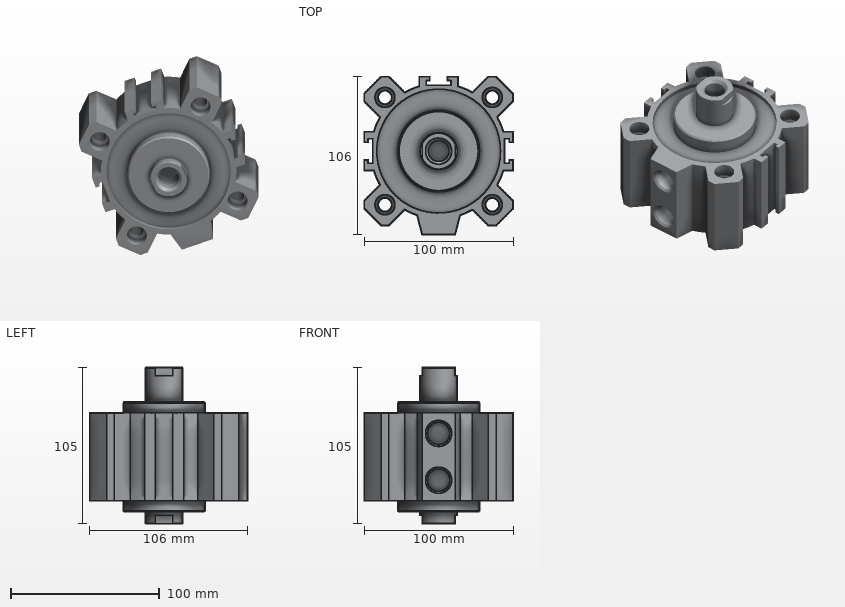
import cadquery as cq
import math


HOUSING_WIDTH = 100.0
HOUSING_DEPTH = 106.0
HOUSING_HEIGHT = 59.0
BARREL_DIAMETER = 91.0
ARM_WIDTH = 23.5
ARM_REACH = 62.6

RAIL_WIDTH = 26.1
SLOT_MOUTH_WIDTH = 11.7
SLOT_INNER_WIDTH = 16.3
SLOT_LIP = 2.6
SLOT_DEPTH = 5.6
RAIL_ANGLES = (0, 90, 180)

PORT_FACE_WIDTH = 22.3
PORT_BLOCK_TAPER = 14.5
PORT_DIAMETER = 14.9
PORT_MOUTH_DIAMETER = 17.6
PORT_DEPTH = 14.8
PORT_SPACING = 31.4

BOLT_OFFSET = 36.0
BOLT_DIAMETER = 9.0
COUNTERBORE_DIAMETER = 13.5
COUNTERBORE_DEPTH = 9.0

RECESS_DIAMETER = 83.2
RECESS_DEPTH = 3.0
BOSS_DIAMETER = 55.0
BOSS_HEIGHT = 7.5
BOSS_CHAMFER = 1.0

ROD_DIAMETER = 25.0
ROD_TOP_LENGTH = 23.0
ROD_BOTTOM_LENGTH = 8.0
ROD_CHAMFER = 0.4
FLAT_SPACING = 22.0
FLAT_LENGTH = 5.6
ROD_BORE_DIAMETER = 13.9
ROD_BORE_MOUTH_DIAMETER = 17.6
ROD_BORE_DEPTH = 21.2

HALF_WIDTH = HOUSING_WIDTH / 2
HALF_HEIGHT = HOUSING_HEIGHT / 2
PORT_FACE_DISTANCE = HOUSING_DEPTH - HALF_WIDTH
BOSS_TOP = HALF_HEIGHT + BOSS_HEIGHT
ROD_TOP = BOSS_TOP + ROD_TOP_LENGTH
ROD_BOTTOM = -BOSS_TOP - ROD_BOTTOM_LENGTH


def countersunk_hole(diameter, mouth_diameter, depth):
    """Blind hole cutter with a 45 degree mouth, from the origin down along -Z."""
    radius = diameter / 2
    mouth_radius = mouth_diameter / 2
    return (
        cq.Workplane("XZ")
        .polyline([
            (0, 0),
            (mouth_radius, 0),
            (radius, radius - mouth_radius),
            (radius, -depth),
            (0, -depth),
        ])
        .close()
        .revolve(360, (0, 0, 0), (0, 1, 0))
    )


def mirrored_pair(shape):
    """The shape together with its mirror image below z = 0."""
    return shape.union(shape.mirror("XY"))


def side_box(x_inner, x_outer, width):
    """Box of housing height on the +X side, between two distances from the axis."""
    length = x_outer - x_inner
    return cq.Workplane("XY").box(length, width, HOUSING_HEIGHT).translate((x_inner + length / 2, 0, 0))


def make_arms():
    """Diagonal cross of four mounting arms, trimmed by the square housing width."""
    arms = cq.Workplane("XY").box(2 * ARM_REACH, ARM_WIDTH, HOUSING_HEIGHT)
    arms = arms.union(arms.rotate((0, 0, 0), (0, 0, 1), 90))
    arms = arms.rotate((0, 0, 0), (0, 0, 1), 45)
    return arms.intersect(cq.Workplane("XY").box(HOUSING_WIDTH, HOUSING_WIDTH, HOUSING_HEIGHT))


def make_port_block():
    """Tapered block that widens from the port face to well inside the barrel."""
    half_face = PORT_FACE_WIDTH / 2
    root_distance = BARREL_DIAMETER / 2 - SLOT_DEPTH
    half_root = half_face + (PORT_FACE_DISTANCE - root_distance) * math.tan(math.radians(PORT_BLOCK_TAPER))
    return (
        cq.Workplane("XY", origin=(0, 0, -HALF_HEIGHT))
        .polyline([
            (-half_face, -PORT_FACE_DISTANCE),
            (half_face, -PORT_FACE_DISTANCE),
            (half_root, -root_distance),
            (-half_root, -root_distance),
        ])
        .close()
        .extrude(HOUSING_HEIGHT)
    )


def add_rails(body):
    """Add a rail with a T-slot on each plain side of the barrel."""
    rail = side_box(0, HALF_WIDTH, RAIL_WIDTH)
    slot = side_box(HALF_WIDTH - SLOT_DEPTH, HALF_WIDTH - SLOT_LIP, SLOT_INNER_WIDTH)
    slot = slot.union(side_box(HALF_WIDTH - SLOT_DEPTH, HALF_WIDTH, SLOT_MOUTH_WIDTH))
    for angle in RAIL_ANGLES:
        body = body.union(rail.rotate((0, 0, 0), (0, 0, 1), angle))
        body = body.cut(slot.rotate((0, 0, 0), (0, 0, 1), angle))
    return body


def cut_ports(body):
    """Two air ports, one above the other, in the -Y face."""
    port = countersunk_hole(PORT_DIAMETER, PORT_MOUTH_DIAMETER, PORT_DEPTH)
    port = port.rotate((0, 0, 0), (1, 0, 0), 90)
    for z in (-PORT_SPACING / 2, PORT_SPACING / 2):
        body = body.cut(port.translate((0, -PORT_FACE_DISTANCE, z)))
    return body


def cut_bolt_holes(body):
    """Through holes in the arms, counterbored from both ends."""
    through = cq.Workplane("XY").circle(BOLT_DIAMETER / 2).extrude(HALF_HEIGHT, both=True)
    counterbore = (
        cq.Workplane("XY", origin=(0, 0, HALF_HEIGHT))
        .circle(COUNTERBORE_DIAMETER / 2)
        .extrude(-COUNTERBORE_DEPTH)
    )
    hole = through.union(mirrored_pair(counterbore))
    for x in (-BOLT_OFFSET, BOLT_OFFSET):
        for y in (-BOLT_OFFSET, BOLT_OFFSET):
            body = body.cut(hole.translate((x, y, 0)))
    return body


def shape_ends(body):
    """Sink a round recess into both ends and raise the rod-guide boss from its floor."""
    recess = (
        cq.Workplane("XY", origin=(0, 0, HALF_HEIGHT))
        .circle(RECESS_DIAMETER / 2)
        .extrude(-RECESS_DEPTH)
    )
    bosses = (
        cq.Workplane("XY")
        .circle(BOSS_DIAMETER / 2)
        .extrude(BOSS_TOP, both=True)
        .faces("<Z or >Z")
        .chamfer(BOSS_CHAMFER)
    )
    return body.cut(mirrored_pair(recess)).union(bosses)


def make_housing():
    body = cq.Workplane("XY").circle(BARREL_DIAMETER / 2).extrude(HALF_HEIGHT, both=True)
    body = body.union(make_arms()).union(make_port_block())
    body = add_rails(body)
    body = shape_ends(body)
    body = cut_ports(body)
    body = cut_bolt_holes(body)
    rod_passage = cq.Workplane("XY").circle(ROD_DIAMETER / 2).extrude(BOSS_TOP, both=True)
    return body.cut(rod_passage)


def make_rod():
    """Rod through the housing, with wrench flats and a countersunk blind bore at each end."""
    rod = (
        cq.Workplane("XY", origin=(0, 0, ROD_BOTTOM))
        .circle(ROD_DIAMETER / 2)
        .extrude(ROD_TOP - ROD_BOTTOM)
        .faces("<Z or >Z")
        .chamfer(ROD_CHAMFER)
    )
    flat_depth = (ROD_DIAMETER - FLAT_SPACING) / 2
    flat_cutter = cq.Workplane("XY").box(flat_depth, ROD_DIAMETER, FLAT_LENGTH)
    flat_center = (FLAT_SPACING + flat_depth) / 2
    for x in (-flat_center, flat_center):
        for z in (ROD_BOTTOM + FLAT_LENGTH / 2, ROD_TOP - FLAT_LENGTH / 2):
            rod = rod.cut(flat_cutter.translate((x, 0, z)))

    bore = countersunk_hole(ROD_BORE_DIAMETER, ROD_BORE_MOUTH_DIAMETER, ROD_BORE_DEPTH)
    rod = rod.cut(bore.translate((0, 0, ROD_TOP)))
    return rod.cut(bore.mirror("XY").translate((0, 0, ROD_BOTTOM)))


housing = make_housing()
piston_rod = make_rod()

result = cq.Compound.makeCompound([housing.solids().val(), piston_rod.solids().val()])